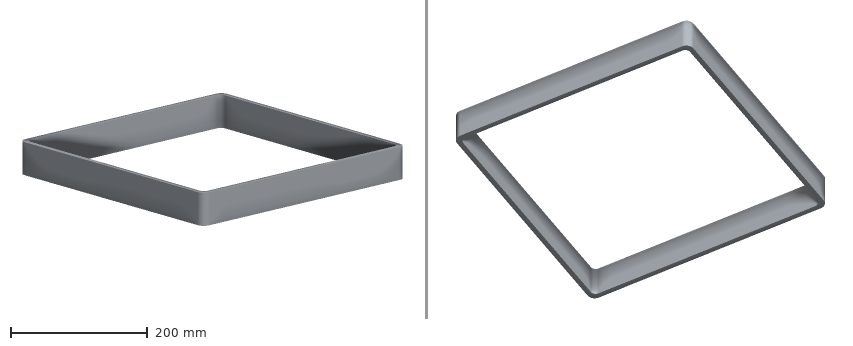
import cadquery as cq

side = 400.0
height = 50.0
wall = 8.0
outer_radius = 12.0
inner_radius = 8.0


def rounded_block(width, corner_radius):
    """Square block on the base plane with rounded vertical edges."""
    block = cq.Workplane("XY").rect(width, width).extrude(height)
    return block.edges("|Z").fillet(corner_radius)


outer_block = rounded_block(side, outer_radius)
opening = rounded_block(side - 2 * wall, inner_radius)
result = outer_block.cut(opening)